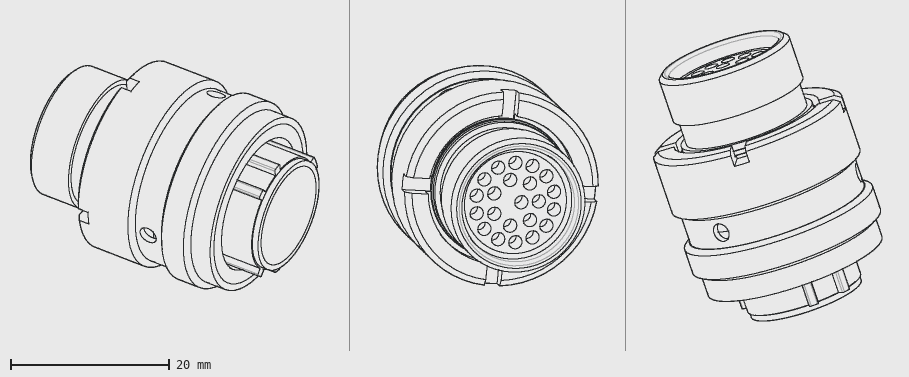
import cadquery as cq
import math

LENGTH = 33.37

COLLAR_RADIUS = 8.68
COLLAR_END = 6.05
COLLAR_CHAMFER_LENGTH = 0.55
COLLAR_CHAMFER_DEPTH = 0.6
NECK_RADIUS = 8.05
FLANGE_START = 9.48
FLANGE_RADIUS = 8.75
FLANGE_END = 19.85
BARREL_RADIUS = 7.55
TIP_RADIUS = 7.35
TIP_LENGTH = 0.85
TIP_START = LENGTH - TIP_LENGTH
MOUTH_RADIUS = 7.3
MOUTH_DEPTH = 2.0
MOUTH_ROUND = 0.45

KEY_TIP_RADIUS = 8.5
KEY_ROOT_RADIUS = 7.0
KEY_ROUND = 0.2
KEY_WIDTH = 1.2
MASTER_KEY_WIDTH = 2.35
KEY_ANGLES = [9.3, 38.0, 138.0, 170.7]
MASTER_KEY_ANGLE = -69.5

INSERT_RADIUS = 6.6
CAVITY_DIAMETER = 1.7
CAVITY_DEPTH = 3.35
OUTER_CAVITY_COUNT = 14
OUTER_CAVITY_CIRCLE = 5.15
INNER_CAVITY_COUNT = 7
INNER_CAVITY_CIRCLE = 3.05
LONE_CAVITY_OFFSET = 0.77

RING_START = 9.38
RING_END = 28.9
RING_RADIUS = 12.55
RING_GROOVE_RADIUS = 11.6
RING_FACE_RADIUS = 11.7
RING_CHAMFER_LENGTH = 0.55
REAR_BAND_END = 17.8
FRONT_BAND_START = 21.72
FRONT_BAND_END = 26.03
RING_BORE_RADIUS = 8.88
RING_RECESS_RADIUS = 9.6
RING_TURN = 5.7
SLOT_COUNT = 4
SLOT_WIDTH = 2.0
SLOT_DEPTH = 1.97
SIGHT_HOLE_COUNT = 3
SIGHT_HOLE_DIAMETER = 2.37
SIGHT_HOLE_X = 19.65
SIGHT_HOLE_ANGLE = 90.0 + RING_TURN

LINER_RADIUS = 10.7
LINER_START = 15.0
LINER_SPLIT = FLANGE_END

CLIP_START = 10.3
CLIP_END = 10.9
CLIP_RADIUS = 8.95
CLIP_GROOVE_RADIUS = 8.3


def revolve_profile(points):
    """Turn a closed outline of (x, radius) points around the X axis."""
    return cq.Workplane("XY").polyline(points).close().revolve(360, (0, 0, 0), (1, 0, 0))


def cylinder_x(radius, start, end):
    """Solid cylinder along X."""
    return cq.Workplane("YZ", origin=(start, 0, 0)).circle(radius).extrude(end - start)


def turned(body, angle):
    """Turn a body about the X axis from +Z toward -Y."""
    return body.rotate((0, 0, 0), (1, 0, 0), angle)


def make_key(width, angle):
    """Key along the mating barrel, with a cylindrical top and rounded top edges."""
    length = TIP_START - FLANGE_END
    bar = (
        cq.Workplane("XY", origin=(FLANGE_END, 0, KEY_ROOT_RADIUS))
        .box(length, width, RING_BORE_RADIUS - KEY_ROOT_RADIUS, centered=(False, True, False))
    )
    key = bar.intersect(cylinder_x(KEY_TIP_RADIUS, FLANGE_END, TIP_START))
    key = key.faces(">Z").edges("|X").fillet(KEY_ROUND)
    return turned(key, angle)


def make_shell():
    outline = [
        (0, INSERT_RADIUS),
        (0, COLLAR_RADIUS - COLLAR_CHAMFER_DEPTH),
        (COLLAR_CHAMFER_LENGTH, COLLAR_RADIUS),
        (COLLAR_END, COLLAR_RADIUS),
        (COLLAR_END, NECK_RADIUS),
        (FLANGE_START, NECK_RADIUS),
        (FLANGE_START, FLANGE_RADIUS),
        (CLIP_START, FLANGE_RADIUS),
        (CLIP_START, CLIP_GROOVE_RADIUS),
        (CLIP_END, CLIP_GROOVE_RADIUS),
        (CLIP_END, FLANGE_RADIUS),
        (FLANGE_END, FLANGE_RADIUS),
        (FLANGE_END, BARREL_RADIUS),
        (TIP_START, BARREL_RADIUS),
        (TIP_START, TIP_RADIUS),
        (LENGTH, TIP_RADIUS),
        (LENGTH, INSERT_RADIUS),
    ]
    shell = revolve_profile(outline)
    shell = shell.cut(cylinder_x(MOUTH_RADIUS, 0, MOUTH_DEPTH))
    shell = shell.faces("<X").edges("%CIRCLE").edges(cq.selectors.RadiusNthSelector(0)).fillet(MOUTH_ROUND)
    for angle in KEY_ANGLES:
        shell = shell.union(make_key(KEY_WIDTH, angle))
    return shell.union(make_key(MASTER_KEY_WIDTH, MASTER_KEY_ANGLE))


def circle_points(count, radius, first_angle):
    """Evenly spaced (y, z) points on a circle around the X axis."""
    angles = [math.radians(first_angle + 360.0 * i / count) for i in range(count)]
    return [(-radius * math.sin(a), radius * math.cos(a)) for a in angles]


def make_insert():
    insert = cylinder_x(INSERT_RADIUS, MOUTH_DEPTH, LENGTH)
    cavities = circle_points(OUTER_CAVITY_COUNT, OUTER_CAVITY_CIRCLE, 0)
    cavities += circle_points(INNER_CAVITY_COUNT, INNER_CAVITY_CIRCLE, 90)
    cavities.append((-LONE_CAVITY_OFFSET, 0))
    cutters = (
        cq.Workplane("YZ", origin=(MOUTH_DEPTH, 0, 0))
        .pushPoints(cavities)
        .circle(CAVITY_DIAMETER / 2)
        .extrude(CAVITY_DEPTH)
    )
    return insert.cut(cutters)


def make_coupling_ring():
    outline = [
        (RING_START, RING_RECESS_RADIUS),
        (RING_START, RING_FACE_RADIUS),
        (RING_START + RING_CHAMFER_LENGTH, RING_RADIUS),
        (REAR_BAND_END - RING_CHAMFER_LENGTH, RING_RADIUS),
        (REAR_BAND_END, RING_GROOVE_RADIUS),
        (FRONT_BAND_START, RING_GROOVE_RADIUS),
        (FRONT_BAND_START, RING_FACE_RADIUS),
        (FRONT_BAND_START + RING_CHAMFER_LENGTH, RING_RADIUS),
        (FRONT_BAND_END - RING_CHAMFER_LENGTH, RING_RADIUS),
        (FRONT_BAND_END, RING_GROOVE_RADIUS),
        (RING_END, RING_GROOVE_RADIUS),
        (RING_END, LINER_RADIUS),
        (LINER_START, LINER_RADIUS),
        (LINER_START, RING_BORE_RADIUS),
        (CLIP_END, RING_BORE_RADIUS),
        (CLIP_END, RING_RECESS_RADIUS),
    ]
    ring = revolve_profile(outline)

    slot = (
        cq.Workplane("XY", origin=(RING_START, 0, 0))
        .box(SLOT_DEPTH, SLOT_WIDTH, RING_RADIUS, centered=(False, True, False))
    )
    for i in range(SLOT_COUNT):
        ring = ring.cut(turned(slot, RING_TURN + 360.0 * i / SLOT_COUNT))

    sight_hole = (
        cq.Workplane("XY", origin=(SIGHT_HOLE_X, 0, 0))
        .circle(SIGHT_HOLE_DIAMETER / 2)
        .extrude(RING_RADIUS)
    )
    for i in range(SIGHT_HOLE_COUNT):
        ring = ring.cut(turned(sight_hole, SIGHT_HOLE_ANGLE + 360.0 * i / SIGHT_HOLE_COUNT))
    return ring


def make_tube(outer_radius, inner_radius, start, end):
    """Plain tube along X."""
    return cylinder_x(outer_radius, start, end).cut(cylinder_x(inner_radius, start, end))


def make_clip():
    return make_tube(CLIP_RADIUS, CLIP_GROOVE_RADIUS, CLIP_START, CLIP_END)


def make_spring_ring():
    return make_tube(LINER_RADIUS, RING_BORE_RADIUS, LINER_START, LINER_SPLIT)


def make_bayonet_sleeve():
    return make_tube(LINER_RADIUS, RING_BORE_RADIUS, LINER_SPLIT, RING_END)


shell = make_shell()
insert = make_insert()
coupling_ring = make_coupling_ring()
clip = make_clip()
spring_ring = make_spring_ring()
bayonet_sleeve = make_bayonet_sleeve()

result = cq.Compound.makeCompound([
    shell.val(),
    insert.val(),
    coupling_ring.val(),
    clip.val(),
    spring_ring.val(),
    bayonet_sleeve.val(),
])